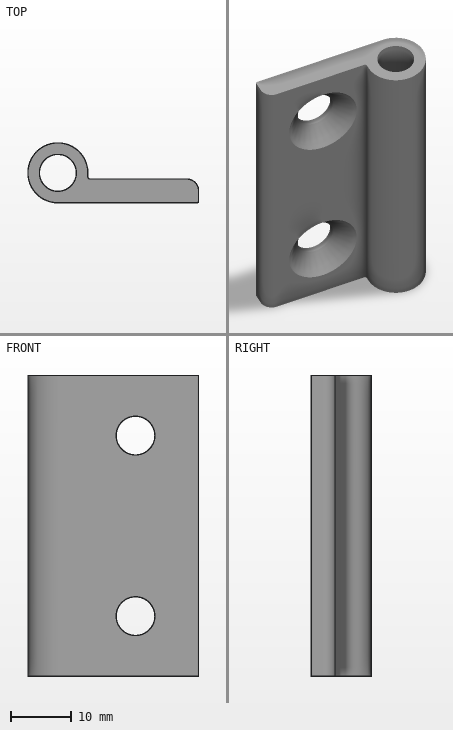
import cadquery as cq
import math

height = 50.0
barrel_radius = 5.0
pin_diameter = 6.1
leaf_thickness = 4.0
overall_width = 28.4
back_edge_radius = 2.0
front_edge_radius = 0.3
root_fillet_radius = 0.3
screw_hole_diameter = 6.4
screw_hole_x = 12.9
screw_hole_end_distance = 10.0
screw_hole_straight_depth = 1.0
countersink_angle = 90.0

leaf_end_x = overall_width - barrel_radius
leaf_front_y = -barrel_radius
leaf_back_y = leaf_front_y + leaf_thickness
countersink_depth = leaf_thickness - screw_hole_straight_depth
countersink_growth = countersink_depth * math.tan(math.radians(countersink_angle / 2))
countersink_diameter = screw_hole_diameter + 2 * countersink_growth


def make_body():
    """Barrel that runs tangentially into the flat leaf."""
    profile = (
        cq.Workplane("XY")
        .moveTo(barrel_radius, 0)
        .threePointArc((0, barrel_radius), (-barrel_radius, 0))
        .radiusArc((0, leaf_front_y), -barrel_radius)
        .lineTo(leaf_end_x, leaf_front_y)
        .lineTo(leaf_end_x, leaf_back_y)
        .lineTo(barrel_radius, leaf_back_y)
        .close()
    )
    return profile.extrude(height)


def round_edge(body, x, y, radius):
    """Round the vertical edge nearest to the given corner of the profile."""
    edge_finder = cq.selectors.NearestToPointSelector((x, y, height / 2))
    return body.edges("|Z").edges(edge_finder).fillet(radius)


def cut_screw_holes(body):
    """Holes through the leaf near each end, countersunk from its back face."""
    hole_heights = (screw_hole_end_distance, height - screw_hole_end_distance)
    hole_centers = [(-screw_hole_x, z) for z in hole_heights]
    back_face = cq.Plane(origin=(0, leaf_back_y, 0), xDir=(-1, 0, 0), normal=(0, 1, 0))
    return (
        body.copyWorkplane(cq.Workplane(back_face))
        .pushPoints(hole_centers)
        .cskHole(screw_hole_diameter, countersink_diameter, countersink_angle, leaf_thickness)
    )


body = make_body()
body = round_edge(body, leaf_end_x, leaf_back_y, back_edge_radius)
body = round_edge(body, leaf_end_x, leaf_front_y, front_edge_radius)
body = round_edge(body, barrel_radius, leaf_back_y, root_fillet_radius)

pin_bore = cq.Workplane("XY").circle(pin_diameter / 2).extrude(height)
result = cut_screw_holes(body.cut(pin_bore))